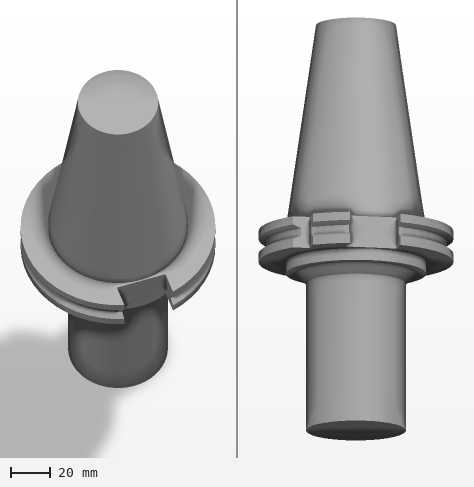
import math

import cadquery as cq


gauge_diameter = 69.85
taper_length = 101.75
taper_ratio = 7 / 24

flange_diameter = 97.5
flange_top_z = -3.2
flange_bottom_z = -19.1

groove_center_z = -11.1
groove_root_diameter = 91.25
groove_root_width = 3.8
groove_flank_angle = 30

collar_diameter = 70.1
collar_bottom_z = -25.0
cone_top_diameter = 60.0
shank_diameter = 50.0
shank_bottom_z = -105.0

slot_width = 25.7
left_slot_floor = 37.7
right_slot_floor = 35.5
notch_offset = 30.0


def revolve_about_z(profile):
    """Full turn of a closed (radius, z) outline about the Z axis."""
    return cq.Workplane("XZ").polyline(profile).close().revolve(360, (0, 0), (0, 1))


def turned_body():
    """Taper, flange, collar, cone and shank as one revolved profile."""
    gauge_radius = gauge_diameter / 2
    taper_top_radius = gauge_radius - taper_length * taper_ratio / 2
    flange_radius = flange_diameter / 2
    collar_radius = collar_diameter / 2
    cone_top_radius = cone_top_diameter / 2
    shank_radius = shank_diameter / 2
    cone_height = cone_top_radius - shank_radius
    profile = [
        (0, taper_length),
        (taper_top_radius, taper_length),
        (gauge_radius, 0),
        (gauge_radius, flange_top_z),
        (flange_radius, flange_top_z),
        (flange_radius, flange_bottom_z),
        (collar_radius, flange_bottom_z),
        (collar_radius, collar_bottom_z),
        (cone_top_radius, collar_bottom_z),
        (shank_radius, collar_bottom_z - cone_height),
        (shank_radius, shank_bottom_z),
        (0, shank_bottom_z),
    ]
    return revolve_about_z(profile)


def groove_ring():
    """Ring that cuts the V-groove into the flange rim."""
    root_radius = groove_root_diameter / 2
    rim_radius = flange_diameter / 2
    half_root = groove_root_width / 2
    flank_rise = (rim_radius - root_radius) * math.tan(math.radians(groove_flank_angle))
    half_mouth = half_root + flank_rise
    profile = [
        (root_radius, groove_center_z - half_root),
        (rim_radius, groove_center_z - half_mouth),
        (rim_radius, groove_center_z + half_mouth),
        (root_radius, groove_center_z + half_root),
    ]
    return revolve_about_z(profile)


def flange_block(x_min, x_max, y_min, y_max):
    """Cutting block over the full thickness of the flange."""
    thickness = flange_top_z - flange_bottom_z
    block = cq.Workplane("XY").box(x_max - x_min, y_max - y_min, thickness, centered=False)
    return block.translate((x_min, y_min, flange_bottom_z))


rim = flange_diameter / 2
half_slot = slot_width / 2
left_slot = flange_block(-rim, -left_slot_floor, -half_slot, half_slot)
right_slot = flange_block(right_slot_floor, rim, -half_slot, half_slot)
notch = flange_block(-rim, -notch_offset, notch_offset, rim)

result = turned_body().cut(groove_ring())
for cutter in (left_slot, right_slot, notch):
    result = result.cut(cutter)